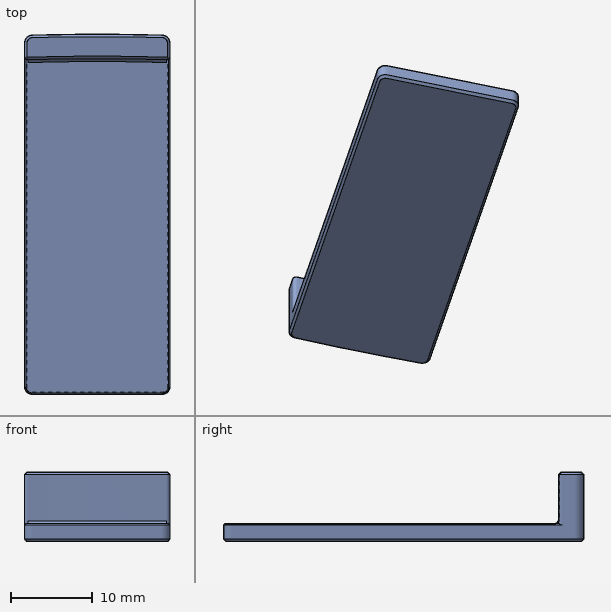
import cadquery as cq
import math

width = 17.8
length = 44.05
height = 8.5
plate_thickness = 2.2
wall_thickness = 3.0

bow = 0.15

corner_radius = 1.0
outer_chamfer = 0.3
plate_top_chamfer = 0.18
wall_front_radius = 0.45
inner_bevel = 0.35

back = length / 2
front = -length / 2
wall_front = back - wall_thickness
bow_radius = ((width / 2) ** 2 + bow**2) / (2 * bow)


def bowed_back_outline():
    """Full-width outline whose +Y side is a shallow arc and whose -Y side is straight."""
    return (
        cq.Workplane("XY")
        .moveTo(-width / 2, front)
        .lineTo(width / 2, front)
        .lineTo(width / 2, back - bow)
        .threePointArc((0, back), (-width / 2, back - bow))
        .close()
    )


def make_plate():
    """Full-length plate with rounded corners and chamfered rims."""
    plate = bowed_back_outline().extrude(plate_thickness)
    plate = plate.edges("|Z").fillet(corner_radius)
    plate = plate.faces("<Z").chamfer(outer_chamfer)
    return plate.faces(">Z").chamfer(plate_top_chamfer)


def make_wall():
    """Bowed upright wall with rounded vertical edges and chamfered rims."""
    wall = (
        cq.Workplane("XY")
        .moveTo(-width / 2, wall_front - bow)
        .threePointArc((0, wall_front), (width / 2, wall_front - bow))
        .lineTo(width / 2, back - bow)
        .threePointArc((0, back), (-width / 2, back - bow))
        .close()
        .extrude(height)
    )
    wall = wall.edges("|Z").edges(">Y").fillet(corner_radius)
    wall = wall.edges("|Z").edges("<Y").fillet(wall_front_radius)
    return wall.faces("<Z or >Z").chamfer(outer_chamfer)


def make_inner_bevel():
    """Sloped strip in the inside corner, following the bow of the wall front."""
    arc_center_y = wall_front - bow_radius
    bevel_length = width - 2 * wall_front_radius
    sweep_angle = 2 * math.degrees(math.asin(bevel_length / 2 / bow_radius))
    return (
        cq.Workplane("YZ")
        .moveTo(wall_front - inner_bevel, plate_thickness)
        .lineTo(wall_front, plate_thickness + inner_bevel)
        .lineTo(wall_front, plate_thickness - inner_bevel)
        .lineTo(wall_front - inner_bevel, plate_thickness - inner_bevel)
        .close()
        .revolve(sweep_angle, (arc_center_y, 0), (arc_center_y, 1))
        .rotate((0, arc_center_y, 0), (0, arc_center_y, 1), -sweep_angle / 2)
    )


result = make_plate().union(make_wall()).union(make_inner_bevel()).solids()